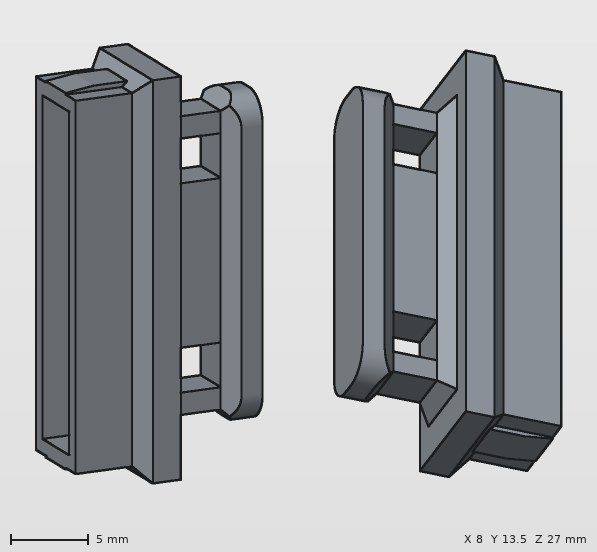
import cadquery as cq

FLANGE_WIDTH = 8.0
FLANGE_HEIGHT = 27.0
TOTAL_DEPTH = 13.5

BEVEL = 1.0
WALL = 1.0

PLUG_LENGTH = 4.0
FLANGE_THICKNESS = 2.0
NECK_LENGTH = 3.0

PLUG_WIDTH = FLANGE_WIDTH - 2 * BEVEL
PLUG_HEIGHT = FLANGE_HEIGHT - 2 * BEVEL
POCKET_WIDTH = PLUG_WIDTH - 2 * WALL
POCKET_HEIGHT = PLUG_HEIGHT - 2 * WALL
POCKET_DEPTH = PLUG_LENGTH + BEVEL

NECK_WIDTH = 3.0
HEAD_WIDTH = NECK_WIDTH + 2 * BEVEL
HEAD_HEIGHT = 22.0
NECK_HEIGHT = HEAD_HEIGHT - 2 * BEVEL
HEAD_RADIUS = 2.0
WINDOW_SIZE = NECK_LENGTH
WINDOW_END_STRIP = NECK_LENGTH / 2

CATCH_WIDTH = NECK_WIDTH
CATCH_RISE = 0.35
CATCH_TIP_RISE = 0.1
CATCH_RAMP_LENGTH = 2.0

FRONT_SLOPE_Y = PLUG_LENGTH
FLANGE_Y = FRONT_SLOPE_Y + BEVEL
COLLAR_Y = FLANGE_Y + FLANGE_THICKNESS
NECK_Y = COLLAR_Y + BEVEL
HEAD_Y = NECK_Y + NECK_LENGTH
HEAD_THICKNESS = TOTAL_DEPTH - HEAD_Y


def block(width, height, start_y, length):
    """Box centred on X and Z that runs from start_y toward +Y."""
    return cq.Workplane("XY").box(width, length, height).translate((0, start_y + length / 2, 0))


def tapered_block(start_size, end_size, start_y, length):
    """Four-sided taper between two (width, height) rectangles."""
    return (
        cq.Workplane("XZ", origin=(0, start_y, 0))
        .rect(*start_size)
        .workplane(offset=-length)
        .rect(*end_size)
        .loft(ruled=True)
    )


def make_flange_and_plug():
    plug = block(PLUG_WIDTH, PLUG_HEIGHT, 0, PLUG_LENGTH)
    slope = tapered_block(
        (PLUG_WIDTH, PLUG_HEIGHT), (FLANGE_WIDTH, FLANGE_HEIGHT), FRONT_SLOPE_Y, BEVEL
    )
    flange = block(FLANGE_WIDTH, FLANGE_HEIGHT, FLANGE_Y, FLANGE_THICKNESS)
    return plug.union(slope).union(flange)


def make_catch():
    """Catch on the +Z end: a ramp rising from the front, then a level top reaching into the slope."""
    base_z = PLUG_HEIGHT / 2
    return (
        cq.Workplane("YZ")
        .moveTo(0, base_z - WALL / 2)
        .lineTo(0, base_z + CATCH_TIP_RISE)
        .lineTo(CATCH_RAMP_LENGTH, base_z + CATCH_RISE)
        .lineTo(FLANGE_Y, base_z + CATCH_RISE)
        .lineTo(FLANGE_Y, base_z - WALL / 2)
        .close()
        .extrude(CATCH_WIDTH / 2, both=True)
    )


def make_neck():
    """Collar flaring onto the flange and a flat neck with a window near each end."""
    collar = tapered_block(
        (HEAD_WIDTH, HEAD_HEIGHT), (NECK_WIDTH, NECK_HEIGHT), COLLAR_Y, BEVEL
    )
    neck = block(NECK_WIDTH, NECK_HEIGHT, NECK_Y, NECK_LENGTH)
    window = block(NECK_WIDTH, WINDOW_SIZE, NECK_Y, NECK_LENGTH)
    window_z = NECK_HEIGHT / 2 - WINDOW_END_STRIP - WINDOW_SIZE / 2
    for side in (1, -1):
        neck = neck.cut(window.translate((0, 0, side * window_z)))
    return collar.union(neck)


def make_head():
    """Bar with rounded corners, cut by straight bevels on the side facing the neck."""
    bar = block(HEAD_WIDTH, HEAD_HEIGHT, HEAD_Y, HEAD_THICKNESS)
    rounded = bar.edges("|Y").fillet(HEAD_RADIUS)
    bevelled = bar.faces("<Y").chamfer(BEVEL)
    return rounded.intersect(bevelled)


catch = make_catch()
pocket = block(POCKET_WIDTH, POCKET_HEIGHT, 0, POCKET_DEPTH)

result = (
    make_flange_and_plug()
    .union(catch)
    .union(catch.mirror("XY"))
    .cut(pocket)
    .union(make_neck())
    .union(make_head())
)